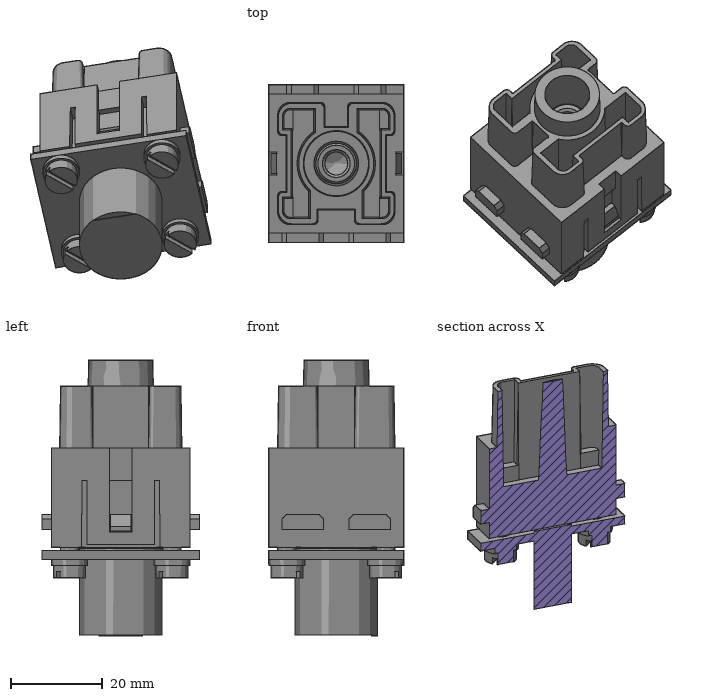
import cadquery as cq
import math

BARREL_END_Z = 0.2
HEAD_BOTTOM_Z = 12.6
WASHER_BOTTOM_Z = 15.35
PLATE_BOTTOM_Z = 16.6
PLATE_TOP_Z = 18.6
BARREL_TOP_Z = 19.0
BODY_BOTTOM_Z = 19.25
LUG_BOTTOM_Z = 23.1
LUG_TOP_Z = 26.45
SLOT_TOP_Z = 33.8
BODY_TOP_Z = 40.9
TOWER_TOP_Z = 54.35
TOP_Z = 60.0

LENGTH_X = 29.4
PLATE_Y = 34.4
BODY_Y = 30.25
LUG_CHAMFER = 1.0

FRONT_LUG_SPAN = (2.75, 11.8)
BACK_LUG_SPAN = (3.85, 10.8)

DRAFT = 0.9
TOWER_HALF_X = 12.8
TOWER_HALF_Y = 13.3
SIDE_NOTCH_X = 10.9
SIDE_NOTCH_HALF_Y = 6.05
BACK_NOTCH_HALF_X = 2.45
BACK_NOTCH_Y = 8.05
FRONT_NOTCH_HALF_X = 3.95
FRONT_NOTCH_Y = -10.1
TOWER_CORNER_R = 2.8
NOTCH_CORNER_R = 1.0

POCKET_OUTER_X = 11.7
POCKET_WAIST_X = 9.85
POCKET_WAIST_HALF_Y = 7.3
POCKET_HALF_Y = 12.0
POCKET_BACK_X = 4.55
POCKET_FRONT_X = 5.65
POCKET_RING_R = 8.15
POCKET_CORNER_R = 1.7
POCKET_FLOOR_Z = 31.2
SHELF_Z = 34.8
SHELF_EDGE_X = 9.4

CHANNEL_WIDTH = 4.9
CHANNEL_DEPTH = 1.75
WINDOW_DEPTH = 2.9
WINDOW_BOTTOM_Z = 22.55
LATCH_GAP = 0.25
LATCH_EDGE_Z = 23.8
LATCH_TOP_Z = LUG_TOP_Z
LATCH_SETBACK = 0.55
TONGUE_HALF_Y = 7.3
TONGUE_BOTTOM_Z = 19.85
SLOT_TOP_HALF_Y = 8.4
SLOT_BOTTOM_HALF_Y = 8.6
SLOT_DEPTH = 2.9

BARREL_D = 18.0
NECK_D = 15.5
LIP_START_X = 7.7
TUBE_TOP_D = 14.05
TUBE_FOOT_D = 14.35
BORE_MOUTH_D = 9.7
BORE_FLOOR_D = 8.8
CONTACT_TIP_D = 8.0
CONTACT_TOP_Z = 49.2
CONTACT_HOLE_D = 5.0
CONTACT_MOUTH_D = 6.05
CONTACT_HOLE_DEPTH = 7.2
DRILL_HALF_ANGLE = 59

WASHER_D = 7.9
HEAD_D = 7.0
SHANK_D = 4.0
SCREW_X = (LENGTH_X - WASHER_D) / 2
SCREW_Y = (BODY_Y - WASHER_D) / 2
DRIVE_SLOT_WIDTH = 1.1
DRIVE_SLOT_DEPTH = 1.45
DRIVE_SLOT_ANGLE = -45


def block(x0, x1, y0, y1, z0, z1):
    """Box between opposite corners."""
    return cq.Workplane("XY", origin=((x0 + x1) / 2, (y0 + y1) / 2, z0)).box(
        x1 - x0, y1 - y0, z1 - z0, centered=(True, True, False)
    )


def cylinder(diameter, z0, z1, x=0, y=0):
    """Upright cylinder between two levels."""
    return cq.Workplane("XY", origin=(x, y, z0)).circle(diameter / 2).extrude(z1 - z0)


def turned(profile):
    """Solid of revolution about Z from (radius, z) points."""
    return cq.Workplane("XZ").polyline(profile).close().revolve(360, (0, 0, 0), (0, 1, 0))


def both_x_sides(shape):
    """Shape on the -X side together with its mirror image on the +X side."""
    return shape.union(shape.mirror("YZ"))


def lug(x0, x1):
    """Locking lug of the -Y side with two chamfered top corners."""
    shape = block(x0, x1, -PLATE_Y / 2, -BODY_Y / 2, LUG_BOTTOM_Z, LUG_TOP_Z)
    return shape.edges("|Y and >Z").chamfer(LUG_CHAMFER)


def lug_row(inner_x, outer_x):
    """Pair of lugs of the -Y side, one in each half of the body."""
    return both_x_sides(lug(-outer_x, -inner_x))


def round_upright_edge(shape, x, y, radius):
    """Fillet the leaning corner edge of the tower whose foot is at (x, y)."""
    reach = 0.6
    mid_z = (BODY_TOP_Z + TOWER_TOP_Z) / 2
    near_edge = cq.selectors.BoxSelector(
        (x - reach, y - reach, mid_z - reach), (x + reach, y + reach, mid_z + reach)
    )
    return shape.edges(near_edge).fillet(radius)


def tower():
    """Drafted tower with four corner posts left between its notches."""
    right_half = [
        (FRONT_NOTCH_HALF_X, FRONT_NOTCH_Y),
        (FRONT_NOTCH_HALF_X, -TOWER_HALF_Y),
        (TOWER_HALF_X, -TOWER_HALF_Y),
        (TOWER_HALF_X, -SIDE_NOTCH_HALF_Y),
        (SIDE_NOTCH_X, -SIDE_NOTCH_HALF_Y),
        (SIDE_NOTCH_X, SIDE_NOTCH_HALF_Y),
        (TOWER_HALF_X, SIDE_NOTCH_HALF_Y),
        (TOWER_HALF_X, TOWER_HALF_Y),
        (BACK_NOTCH_HALF_X, TOWER_HALF_Y),
        (BACK_NOTCH_HALF_X, BACK_NOTCH_Y),
    ]
    left_half = [(-x, y) for x, y in reversed(right_half)]
    shape = cq.Workplane("XY", origin=(0, 0, BODY_TOP_Z)).polyline(right_half + left_half).close()
    shape = shape.extrude(TOWER_TOP_Z - BODY_TOP_Z, taper=DRAFT)

    corners = []
    for x_side in (-1, 1):
        corners.append((x_side * FRONT_NOTCH_HALF_X, -TOWER_HALF_Y, NOTCH_CORNER_R))
        corners.append((x_side * BACK_NOTCH_HALF_X, TOWER_HALF_Y, NOTCH_CORNER_R))
        for y_side in (-1, 1):
            corners.append((x_side * TOWER_HALF_X, y_side * TOWER_HALF_Y, TOWER_CORNER_R))
            corners.append((x_side * TOWER_HALF_X, y_side * SIDE_NOTCH_HALF_Y, NOTCH_CORNER_R))
    for x, y, radius in corners:
        shape = round_upright_edge(shape, x, y, radius)
    return shape


def pocket():
    """Drafted pocket of the -X half, with a raised shelf in each outer corner."""
    back_ring_y = math.sqrt(POCKET_RING_R**2 - POCKET_BACK_X**2)
    front_ring_y = math.sqrt(POCKET_RING_R**2 - POCKET_FRONT_X**2)
    r = POCKET_CORNER_R
    shape = (
        cq.Workplane("XY", origin=(0, 0, TOWER_TOP_Z))
        .moveTo(-POCKET_BACK_X, POCKET_HALF_Y)
        .lineTo(-POCKET_BACK_X, back_ring_y)
        .threePointArc((-POCKET_RING_R, 0), (-POCKET_FRONT_X, -front_ring_y))
        .lineTo(-POCKET_FRONT_X, -POCKET_HALF_Y)
        .lineTo(r - POCKET_OUTER_X, -POCKET_HALF_Y)
        .tangentArcPoint((-r, r))
        .lineTo(-POCKET_OUTER_X, -POCKET_WAIST_HALF_Y)
        .lineTo(-POCKET_WAIST_X, -POCKET_WAIST_HALF_Y)
        .lineTo(-POCKET_WAIST_X, POCKET_WAIST_HALF_Y)
        .lineTo(-POCKET_OUTER_X, POCKET_WAIST_HALF_Y)
        .lineTo(-POCKET_OUTER_X, POCKET_HALF_Y - r)
        .tangentArcPoint((r, r))
        .close()
        .extrude(POCKET_FLOOR_Z - TOWER_TOP_Z, taper=DRAFT)
    )
    shelf = block(
        -POCKET_OUTER_X, -SHELF_EDGE_X, POCKET_WAIST_HALF_Y, POCKET_HALF_Y, POCKET_FLOOR_Z, SHELF_Z
    )
    return shape.cut(shelf).cut(shelf.mirror("XZ"))


def latch_channel():
    """Channel and window of the -X side, less the ramped latch standing in the window."""
    face_x = -LENGTH_X / 2
    half = CHANNEL_WIDTH / 2
    channel_x = face_x + CHANNEL_DEPTH
    window_x = face_x + WINDOW_DEPTH
    latch_x = face_x + LATCH_SETBACK
    channel = block(face_x, channel_x, -half, half, WINDOW_BOTTOM_Z, BODY_TOP_Z)
    window = block(face_x, window_x, -half, half, WINDOW_BOTTOM_Z, SLOT_TOP_Z)
    latch_bottom_z = WINDOW_BOTTOM_Z + LATCH_GAP
    latch = (
        cq.Workplane("XZ")
        .polyline(
            [
                (window_x, latch_bottom_z),
                (latch_x, latch_bottom_z),
                (latch_x, LATCH_EDGE_Z),
                (channel_x, LATCH_TOP_Z),
                (window_x, LATCH_TOP_Z),
            ]
        )
        .close()
        .extrude(half - LATCH_GAP, both=True)
    )
    return channel.union(window).cut(latch)


def tongue_slots():
    """U-shaped relief that frees the tongue of the -X side at its edges and its end."""
    face_x = -LENGTH_X / 2
    slot_floor_x = face_x + SLOT_DEPTH
    opening = (
        cq.Workplane("YZ", origin=(face_x, 0, 0))
        .polyline(
            [
                (-SLOT_BOTTOM_HALF_Y, BODY_BOTTOM_Z),
                (SLOT_BOTTOM_HALF_Y, BODY_BOTTOM_Z),
                (SLOT_TOP_HALF_Y, SLOT_TOP_Z),
                (-SLOT_TOP_HALF_Y, SLOT_TOP_Z),
            ]
        )
        .close()
        .extrude(SLOT_DEPTH)
    )
    tongue = block(face_x, slot_floor_x, -TONGUE_HALF_Y, TONGUE_HALF_Y, TONGUE_BOTTOM_Z, SLOT_TOP_Z)
    return opening.cut(tongue)


def screw(x, y):
    """Screw with washer and a driver slot running diagonally across its head."""
    head = cylinder(HEAD_D, HEAD_BOTTOM_Z, WASHER_BOTTOM_Z, x, y)
    drive_slot = (
        cq.Workplane("XY", origin=(x, y, HEAD_BOTTOM_Z))
        .transformed(rotate=(0, 0, DRIVE_SLOT_ANGLE))
        .rect(HEAD_D, DRIVE_SLOT_WIDTH)
        .extrude(DRIVE_SLOT_DEPTH)
    )
    washer = cylinder(WASHER_D, WASHER_BOTTOM_Z, PLATE_BOTTOM_Z, x, y)
    shank = cylinder(SHANK_D, PLATE_TOP_Z, BODY_BOTTOM_Z, x, y)
    return head.cut(drive_slot).union(washer).union(shank)


def barrel():
    """Round barrel on a short neck below the body, with a thin lip at the +X side of its end."""
    lip = cylinder(BARREL_D, 0, BARREL_END_Z)
    lip = lip.intersect(block(LIP_START_X, BARREL_D, -BARREL_D, BARREL_D, 0, BARREL_END_Z))
    neck = cylinder(NECK_D, BARREL_TOP_Z, BODY_BOTTOM_Z)
    return cylinder(BARREL_D, BARREL_END_Z, BARREL_TOP_Z).union(neck).union(lip)


def tube():
    """Slightly tapered tube standing on the tower."""
    return turned(
        [(0, TOWER_TOP_Z), (TUBE_FOOT_D / 2, TOWER_TOP_Z), (TUBE_TOP_D / 2, TOP_Z), (0, TOP_Z)]
    )


def bore():
    """Tapered bore of the tube, down around a chamfered contact tip with a drilled hole."""
    chamfer = (BORE_FLOOR_D - CONTACT_TIP_D) / 2
    countersink = (CONTACT_MOUTH_D - CONTACT_HOLE_D) / 2
    hole_end_z = CONTACT_TOP_Z - CONTACT_HOLE_DEPTH
    drill_tip_z = hole_end_z - CONTACT_HOLE_D / 2 / math.tan(math.radians(DRILL_HALF_ANGLE))
    return turned(
        [
            (0, TOP_Z),
            (BORE_MOUTH_D / 2, TOP_Z),
            (BORE_FLOOR_D / 2, CONTACT_TOP_Z - chamfer),
            (CONTACT_TIP_D / 2, CONTACT_TOP_Z),
            (CONTACT_MOUTH_D / 2, CONTACT_TOP_Z),
            (CONTACT_HOLE_D / 2, CONTACT_TOP_Z - countersink),
            (CONTACT_HOLE_D / 2, hole_end_z),
            (0, drill_tip_z),
        ]
    )


result = block(-LENGTH_X / 2, LENGTH_X / 2, -BODY_Y / 2, BODY_Y / 2, BODY_BOTTOM_Z, BODY_TOP_Z)
result = result.union(tower()).union(tube())
result = result.union(lug_row(*FRONT_LUG_SPAN))
result = result.union(lug_row(*BACK_LUG_SPAN).mirror("XZ"))

result = result.cut(both_x_sides(pocket()))
result = result.cut(both_x_sides(latch_channel()))
result = result.cut(both_x_sides(tongue_slots()))
result = result.cut(bore())

result = result.union(barrel())
result = result.union(
    block(-LENGTH_X / 2, LENGTH_X / 2, -PLATE_Y / 2, PLATE_Y / 2, PLATE_BOTTOM_Z, PLATE_TOP_Z)
)
for x_side in (-1, 1):
    for y_side in (-1, 1):
        result = result.union(screw(x_side * SCREW_X, y_side * SCREW_Y))